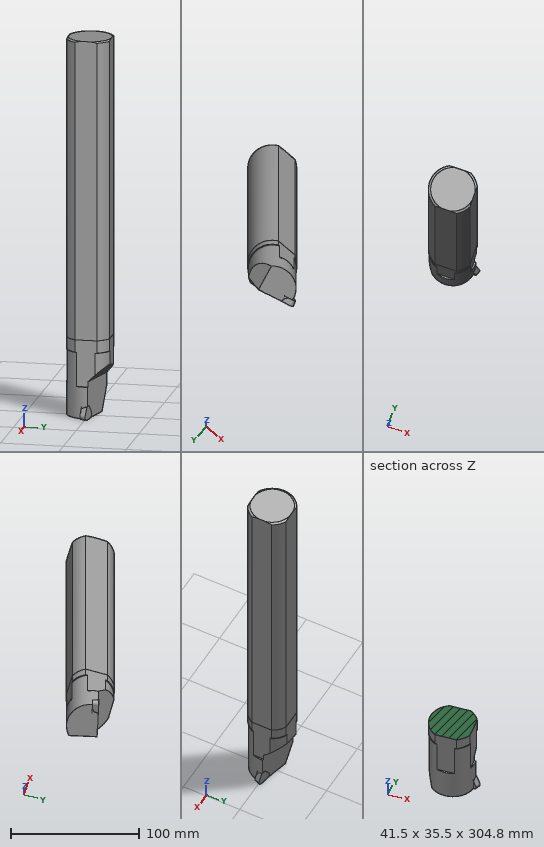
import cadquery as cq
import math

total_length = 304.8

shank_radius = 19.2
flat_distance = 17.0
end_chamfer_width = 1.8
end_chamfer_height = 1.0

head_radius = 18.5
head_bottom = 1.0
flats_bottom = 26.5
collar_bottom = 54.0
joint_height = 64.0

rake_angle = 14.0
rake_face = 5.8
ramp_bottom = 30.8
relief_bottom_reach = 9.0
relief_height = 21.0

insert_side = 16.5
insert_nose_radius = 3.0
insert_thickness = 5.0
insert_reach = 21.5
insert_tilt = 5.0
insert_clearance = 7.0

cut_size = 4 * shank_radius


def round_bar(radius, bottom, top):
    return cq.Workplane("XY").workplane(offset=bottom).circle(radius).extrude(top - bottom)


def cut_flats(bar, bottom, top):
    """Flatten the bar on -Y, +Y and +X, leaving -X round."""
    keep_length = flat_distance + cut_size
    envelope = (
        cq.Workplane("XY")
        .workplane(offset=bottom)
        .center(flat_distance - keep_length / 2, 0)
        .rect(keep_length, 2 * flat_distance)
        .extrude(top - bottom)
    )
    return bar.intersect(envelope)


def turn_to_rake(body):
    return body.rotate((0, 0, 0), (0, 0, 1), -rake_angle)


def make_shank():
    bar = round_bar(shank_radius, joint_height, total_length)
    bar = bar.faces(">Z").edges().chamfer(end_chamfer_height, end_chamfer_width)
    return cut_flats(bar, joint_height, total_length)


def make_chip_pocket():
    """Space in front of the rake face, closed above by a 45 degree ramp."""
    pocket = (
        cq.Workplane("YZ")
        .moveTo(rake_face, head_bottom)
        .lineTo(rake_face, ramp_bottom)
        .lineTo(rake_face + cut_size, ramp_bottom + cut_size)
        .lineTo(rake_face + cut_size, head_bottom)
        .close()
        .extrude(cut_size, both=True)
    )
    return turn_to_rake(pocket)


def make_relief():
    """Wedge that slopes the back of the head toward its bottom."""
    wedge = (
        cq.Workplane("XZ")
        .moveTo(-relief_bottom_reach, head_bottom)
        .lineTo(-head_radius, head_bottom + relief_height)
        .lineTo(-head_radius, head_bottom)
        .close()
        .extrude(cut_size, both=True)
    )
    return turn_to_rake(wedge)


def make_insert():
    centre_spacing = insert_side - 2 * insert_nose_radius * math.sqrt(3)
    nose_x = insert_reach - insert_nose_radius
    nose_z = insert_nose_radius
    corner_centres = [(nose_x, nose_z)]
    for edge_direction in (120 - insert_tilt, 180 - insert_tilt):
        angle = math.radians(edge_direction)
        corner_centres.append(
            (nose_x + centre_spacing * math.cos(angle), nose_z + centre_spacing * math.sin(angle))
        )
    insert = (
        cq.Workplane("XZ", origin=(0, rake_face, 0))
        .polyline(corner_centres)
        .close()
        .offset2D(insert_nose_radius, "arc")
        .extrude(insert_thickness, taper=insert_clearance)
    )
    return turn_to_rake(insert)


def make_head(insert):
    collar = cut_flats(
        round_bar(shank_radius, collar_bottom, joint_height), collar_bottom, joint_height
    )
    neck = cut_flats(
        round_bar(head_radius, flats_bottom, collar_bottom), flats_bottom, collar_bottom
    )
    nose = round_bar(head_radius, head_bottom, flats_bottom)
    head = collar.union(neck).union(nose)
    return head.cut(make_chip_pocket()).cut(make_relief()).cut(insert)


shank = make_shank()
insert = make_insert()
head = make_head(insert)

result = cq.Compound.makeCompound([shank.val(), head.val(), insert.val()])